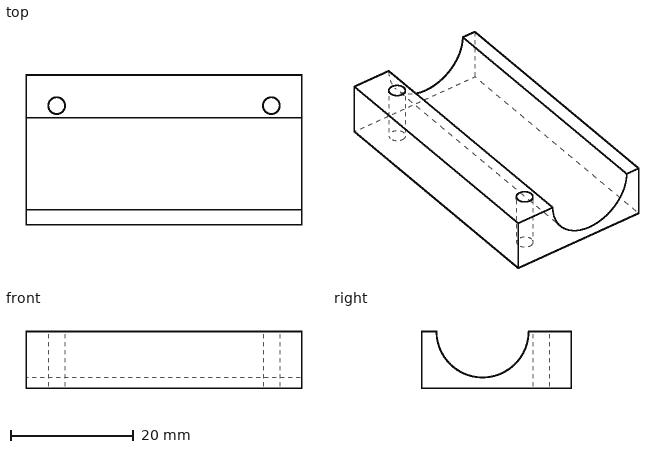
import cadquery as cq

length = 45.0
width = 24.45
height = 9.31

channel_diameter = 15.0
back_wall = 7.0

hole_diameter = 2.7
hole_inset = 5.0

channel_y = width / 2 - back_wall - channel_diameter / 2
hole_x = length / 2 - hole_inset
hole_y = width / 2 - hole_inset


def make_block():
    return cq.Workplane("XY").box(length, width, height, centered=(True, True, False))


def make_channel():
    return (
        cq.Workplane("YZ", origin=(-length / 2, channel_y, height))
        .circle(channel_diameter / 2)
        .extrude(length)
    )


def make_holes():
    return (
        cq.Workplane("XY")
        .pushPoints([(-hole_x, hole_y), (hole_x, hole_y)])
        .circle(hole_diameter / 2)
        .extrude(height)
    )


result = make_block().cut(make_channel()).cut(make_holes())